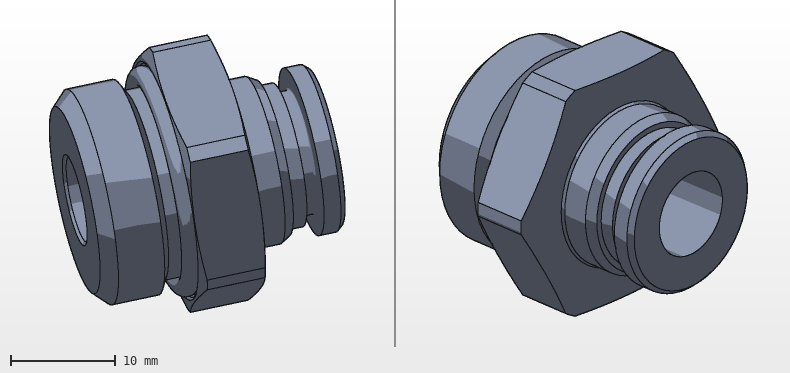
import cadquery as cq
import math

corner_radius = 13.45
flat_radius = 12.0
hex_front = 8.98
hex_back = 15.52
hex_bevel_depth = 0.4

thread_radius = 10.52
thread_tip_radius = 9.12
thread_tip_length = 1.43
thread_end = 6.0
relief_radius = 9.25
relief_start = 6.72

neck_radius = 8.18
neck_root_radius = 8.4
neck_root_length = 0.27
neck_straight_end = 18.53
neck_end = 19.5
neck_end_radius = 7.6
step_radius = 7.02
step_end = 21.0
stem_radius = 6.03
collar_start = 22.38
collar_fillet = 0.25
collar_bevel_start = 24.05
collar_end_radius = 7.72
total_length = 24.6

bore_radius = 4.15
bore_mouth_radius = 4.45
bore_mouth_depth = 0.3
bore_step_y = 4.0
rear_bore_radius = 4.3

seal_tube_radius = 1.0
seal_center_radius = relief_radius + seal_tube_radius
seal_center_y = 8.77
recess_radius = 11.4
recess_mouth_radius = 11.65
recess_bevel_depth = 0.25
recess_floor = seal_center_y + seal_tube_radius


def revolve_about_y(profile):
    """Revolve a closed (radius, y) profile about the fitting's axis."""
    return profile.close().revolve(360, (0, 0, 0), (0, 1, 0))


def make_turned_blank():
    """Turned outline of the thread, neck, stem and collar, without the hexagon."""
    fillet_offset = collar_fillet * (1 - math.sqrt(0.5))
    profile = (
        cq.Workplane("XY")
        .moveTo(0, 0)
        .lineTo(thread_tip_radius, 0)
        .lineTo(thread_radius, thread_tip_length)
        .lineTo(thread_radius, thread_end)
        .lineTo(relief_radius, relief_start)
        .lineTo(relief_radius, hex_back)
        .lineTo(neck_root_radius, hex_back)
        .lineTo(neck_radius, hex_back + neck_root_length)
        .lineTo(neck_radius, neck_straight_end)
        .lineTo(neck_end_radius, neck_end)
        .lineTo(step_radius, neck_end)
        .lineTo(step_radius, step_end)
        .lineTo(stem_radius, step_end)
        .lineTo(stem_radius, collar_start - collar_fillet)
        .threePointArc(
            (stem_radius + fillet_offset, collar_start - fillet_offset),
            (stem_radius + collar_fillet, collar_start),
        )
        .lineTo(neck_radius, collar_start)
        .lineTo(neck_radius, collar_bevel_start)
        .lineTo(collar_end_radius, total_length)
        .lineTo(0, total_length)
    )
    return revolve_about_y(profile)


def make_hexagon():
    """Wrench hexagon with rounded corners and both faces bevelled."""
    across_corners = 2 * flat_radius / math.cos(math.pi / 6)
    prism = (
        cq.Workplane("XZ", origin=(0, hex_front, 0))
        .polygon(6, across_corners)
        .extrude(hex_front - hex_back)
    )
    envelope = revolve_about_y(
        cq.Workplane("XY")
        .moveTo(0, hex_front)
        .lineTo(flat_radius, hex_front)
        .lineTo(corner_radius, hex_front + hex_bevel_depth)
        .lineTo(corner_radius, hex_back - hex_bevel_depth)
        .lineTo(flat_radius, hex_back)
        .lineTo(0, hex_back)
    )
    return prism.intersect(envelope)


def make_seal_recess():
    """Ring-shaped cutter for the seal's seat, with a bevelled mouth."""
    return revolve_about_y(
        cq.Workplane("XY")
        .moveTo(relief_radius, hex_front)
        .lineTo(recess_mouth_radius, hex_front)
        .lineTo(recess_radius, hex_front + recess_bevel_depth)
        .lineTo(recess_radius, recess_floor)
        .lineTo(relief_radius, recess_floor)
    )


def make_bore():
    """Through bore cutter with a bevelled front mouth and a wider rear stretch."""
    return revolve_about_y(
        cq.Workplane("XY")
        .moveTo(0, 0)
        .lineTo(bore_mouth_radius, 0)
        .lineTo(bore_radius, bore_mouth_depth)
        .lineTo(bore_radius, bore_step_y)
        .lineTo(rear_bore_radius, bore_step_y)
        .lineTo(rear_bore_radius, total_length)
        .lineTo(0, total_length)
    )


def make_fitting():
    """Hexagon fitting with its seal recess and bore."""
    hexagon = make_hexagon().cut(make_seal_recess())
    return make_turned_blank().union(hexagon).cut(make_bore())


def make_seal_ring():
    """Round-section ring lying against the relief and the recess floor."""
    section = cq.Workplane("XY").center(seal_center_radius, seal_center_y).circle(seal_tube_radius)
    return section.revolve(360, (-seal_center_radius, 0, 0), (-seal_center_radius, 1, 0))


fitting = make_fitting()
seal_ring = make_seal_ring()

result = cq.Compound.makeCompound([fitting.solids().val(), seal_ring.solids().val()])